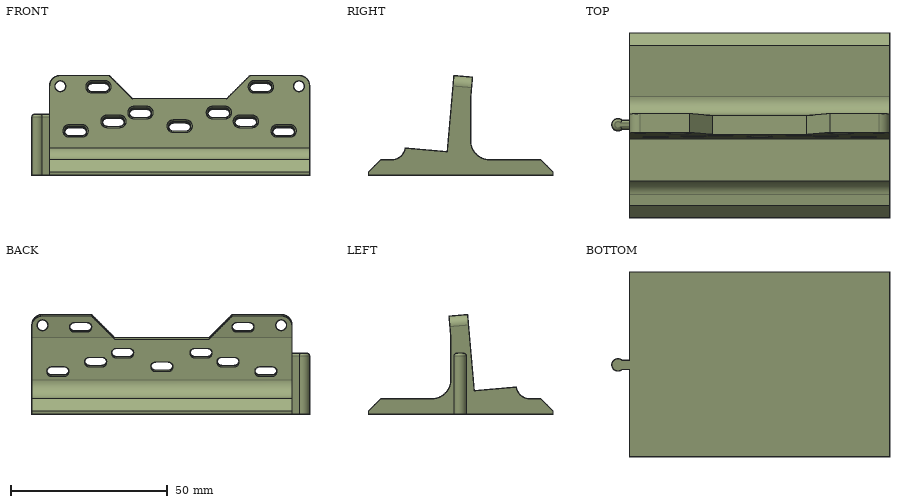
import cadquery as cq
import math

rail_length = 83.0
rail_width = 58.95
base_height = 5.0
bevel = 4.0
edge_height = base_height - bevel

lean = math.radians(5)
cove_start_y = -22.0
ledge_front_y = -17.7
ledge_root_y = -4.3
ledge_root_z = 7.5
ledge_front_z = ledge_root_z + (ledge_root_y - ledge_front_y) * math.tan(lean)

total_height = 31.8
plate_thickness = 6.0
back_web_y = 3.2
back_fillet = 6.0
corner_radius = 3.4
front_top_y = ledge_root_y + (total_height - ledge_root_z) * math.tan(lean)
back_top_y = front_top_y + plate_thickness * math.cos(lean)
back_top_z = total_height - plate_thickness * math.sin(lean)
back_kink_z = back_top_z - (back_top_y - back_web_y) / math.tan(lean)

notch_top_width = 44.85
notch_depth = 7.45
notch_floor_width = notch_top_width - 2 * notch_depth

hole_diameter = 3.4
hole_inset = 3.5

slot_length = 7.0
slot_height = 3.0
slot_chamfer = 0.5
centre_slot_drop = 16.2
paired_slots = [(25.9, 3.6), (12.5, 11.9), (21.1, 14.7), (33.15, 17.7)]

overall_length = 88.6
pin_diameter = 4.0
pin_height = 19.5
pin_y = 0.2
pin_x = rail_length / 2 - overall_length + pin_diameter / 2
neck_width = 3.0
pin_top_fillet = 1.0

plate_normal = cq.Vector(0, -math.cos(lean), math.sin(lean))


def cove_radius():
    """Radius of the cove that meets the base tangentially and ends at the ledge."""
    run = ledge_front_y - cove_start_y
    rise = ledge_front_z - base_height
    return (run**2 + rise**2) / (2 * rise)


def make_profile_body():
    """Rail, ledge and plate as one cross-section swept along X."""
    half_width = rail_width / 2
    fillet_mid = back_fillet * (1 - math.sqrt(0.5))
    return (
        cq.Workplane("YZ", origin=(-rail_length / 2, 0, 0))
        .moveTo(half_width, 0)
        .lineTo(half_width, edge_height)
        .lineTo(half_width - bevel, base_height)
        .lineTo(back_web_y + back_fillet, base_height)
        .threePointArc(
            (back_web_y + fillet_mid, base_height + fillet_mid),
            (back_web_y, base_height + back_fillet),
        )
        .lineTo(back_web_y, back_kink_z)
        .lineTo(back_top_y, back_top_z)
        .lineTo(front_top_y, total_height)
        .lineTo(ledge_root_y, ledge_root_z)
        .lineTo(ledge_front_y, ledge_front_z)
        .radiusArc((cove_start_y, base_height), cove_radius())
        .lineTo(bevel - half_width, base_height)
        .lineTo(-half_width, edge_height)
        .lineTo(-half_width, 0)
        .close()
        .extrude(rail_length)
    )


def plate_face():
    """Workplane on the leaning front face; its origin is the middle of the top edge."""
    origin = (0, front_top_y, total_height)
    return cq.Workplane(cq.Plane(origin=origin, xDir=(1, 0, 0), normal=plate_normal))


def make_notch():
    return (
        plate_face()
        .moveTo(-notch_top_width / 2, 0)
        .lineTo(-notch_floor_width / 2, -notch_depth)
        .lineTo(notch_floor_width / 2, -notch_depth)
        .lineTo(notch_top_width / 2, 0)
        .close()
        .extrude(-plate_thickness)
    )


def make_slots():
    """Through slots square to the plate, each flared at the front."""
    centres = [(0, -centre_slot_drop)]
    for offset, drop in paired_slots:
        centres += [(-offset, -drop), (offset, -drop)]
    rim_length = slot_length + 2 * slot_chamfer
    rim_height = slot_height + 2 * slot_chamfer
    slot_face = plate_face().pushPoints(centres)
    through = slot_face.slot2D(slot_length, slot_height).extrude(-2 * plate_thickness)
    rims = slot_face.slot2D(rim_length, rim_height).extrude(-slot_chamfer, taper=45)
    return through.union(rims)


def make_corner_holes():
    hole_x = rail_length / 2 - hole_inset
    hole_z = total_height - hole_inset
    return (
        cq.Workplane("XZ")
        .pushPoints([(-hole_x, hole_z), (hole_x, hole_z)])
        .circle(hole_diameter / 2)
        .extrude(rail_width / 2, both=True)
    )


def make_pin():
    """Pin and neck of equal height, both with rounded top edges."""
    neck_length = -rail_length / 2 - pin_x
    pin = cq.Workplane("XY").center(pin_x, pin_y).circle(pin_diameter / 2).extrude(pin_height)
    neck = (
        cq.Workplane("XY")
        .center(pin_x + neck_length / 2, pin_y)
        .rect(neck_length, neck_width)
        .extrude(pin_height)
    )
    pin = pin.faces(">Z").edges().fillet(pin_top_fillet)
    neck = neck.faces(">Z").edges("|X").fillet(pin_top_fillet)
    return pin.union(neck)


body = make_profile_body()
top_end_edges = body.edges(cq.selectors.ParallelDirSelector(plate_normal)).edges(">Z")
body = top_end_edges.fillet(corner_radius)
body = body.cut(make_notch()).cut(make_slots()).cut(make_corner_holes())
result = body.union(make_pin())